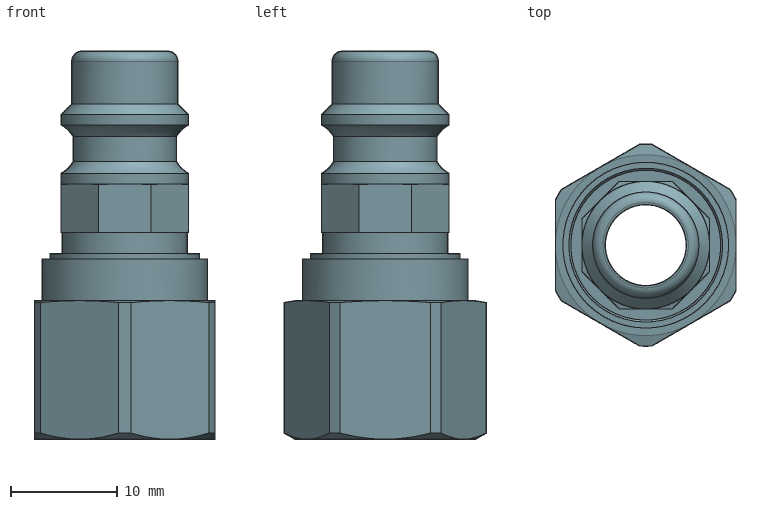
import cadquery as cq
import math

TOTAL_HEIGHT = 36.5
NUT_TOP = 13.03
COLLAR_TOP = 16.97
STEP_TOP = 17.45
OCTAGON_BOTTOM = 19.45
OCTAGON_TOP = 24.0
SHOULDER_BOTTOM = 25.0
GROOVE_BOTTOM = 26.1
GROOVE_TOP = 28.47
FLANGE_BOTTOM = 29.55
FLANGE_TOP = 30.5

BORE_DIAMETER = 7.6
GROOVE_DIAMETER = 9.75
TIP_DIAMETER = 10.0
NECK_DIAMETER = 11.8
FLANGE_DIAMETER = 12.0
STEP_DIAMETER = 14.1
COLLAR_DIAMETER = 15.6
NUT_CORNER_DIAMETER = 19.0

NUT_ACROSS_FLATS = 17.0
OCTAGON_ACROSS_FLATS = FLANGE_DIAMETER
TIP_ROUND = 1.0
GROOVE_ARC_SAG = 0.1
RIM_CHAMFER = 0.2
TOP_BEVEL_ANGLE = 10.0
BOTTOM_BEVEL_ANGLE = 30.0


def cylinder(diameter, bottom, top):
    """Upright cylinder on the part axis."""
    return cq.Workplane("XY").workplane(offset=bottom).circle(diameter / 2).extrude(top - bottom)


def polygon_prism(sides, across_flats, bottom, top):
    """Upright regular prism with flats facing +X and -X."""
    corner_radius = across_flats / 2 / math.cos(math.pi / sides)
    corners = []
    for index in range(sides):
        angle = (2 * index + 1) * math.pi / sides
        corners.append((corner_radius * math.cos(angle), corner_radius * math.sin(angle)))
    return cq.Workplane("XY").workplane(offset=bottom).polyline(corners).close().extrude(top - bottom)


def corner_limiter(flat_diameter, outer_diameter, bottom, top, bottom_angle):
    """Cylinder with conical ends that bevels the corners of a prism it is intersected with."""
    flat_radius = flat_diameter / 2
    outer_radius = outer_diameter / 2
    overhang = outer_radius - flat_radius
    top_drop = overhang * math.tan(math.radians(TOP_BEVEL_ANGLE))
    bottom_rise = overhang * math.tan(math.radians(bottom_angle))
    profile = cq.Workplane("XZ").moveTo(0, bottom).lineTo(flat_radius, bottom)
    profile = profile.lineTo(outer_radius, bottom + bottom_rise)
    profile = profile.lineTo(outer_radius, top - top_drop)
    profile = profile.lineTo(flat_radius, top).lineTo(0, top).close()
    return profile.revolve(360, (0, 0, 0), (0, 1, 0))


def make_nut():
    """Hexagonal nut with corners bevelled at both ends."""
    prism = polygon_prism(6, NUT_ACROSS_FLATS, 0, NUT_TOP)
    limiter = corner_limiter(NUT_ACROSS_FLATS, NUT_CORNER_DIAMETER, 0, NUT_TOP, BOTTOM_BEVEL_ANGLE)
    return prism.intersect(limiter)


def make_collar():
    """Round collar whose inner rim is chamfered around the step rising from it."""
    collar = cylinder(COLLAR_DIAMETER, NUT_TOP, COLLAR_TOP)
    rim_radius = STEP_DIAMETER / 2 + RIM_CHAMFER
    rim_bottom = COLLAR_TOP - RIM_CHAMFER
    funnel = cq.Workplane("XY").add(
        cq.Solid.makeCone(STEP_DIAMETER / 2, rim_radius, RIM_CHAMFER, cq.Vector(0, 0, rim_bottom))
    )
    step = cylinder(STEP_DIAMETER, NUT_TOP, STEP_TOP)
    return collar.cut(funnel).union(step)


def make_octagon():
    """Eight-sided wrench section with its upper corners bevelled."""
    prism = polygon_prism(8, OCTAGON_ACROSS_FLATS, OCTAGON_BOTTOM, OCTAGON_TOP)
    across_corners = OCTAGON_ACROSS_FLATS / math.cos(math.pi / 8)
    limiter = corner_limiter(OCTAGON_ACROSS_FLATS, across_corners, OCTAGON_BOTTOM, OCTAGON_TOP, 0)
    return prism.intersect(limiter)


def make_plug():
    """Round plug end: shoulder, locking groove, flange and rounded tip."""
    flange_radius = FLANGE_DIAMETER / 2
    groove_radius = GROOVE_DIAMETER / 2
    tip_radius = TIP_DIAMETER / 2
    cone_top = FLANGE_TOP + flange_radius - tip_radius

    arc_width = flange_radius - groove_radius
    arc_height = FLANGE_BOTTOM - GROOVE_TOP
    chord = math.hypot(arc_width, arc_height)
    arc_radius = (flange_radius + groove_radius) / 2 - GROOVE_ARC_SAG * arc_height / chord
    arc_inset = arc_height / 2 + GROOVE_ARC_SAG * arc_width / chord
    lower_middle = (arc_radius, GROOVE_BOTTOM - arc_inset)
    upper_middle = (arc_radius, GROOVE_TOP + arc_inset)

    profile = cq.Workplane("XZ").moveTo(0, OCTAGON_TOP).lineTo(flange_radius, OCTAGON_TOP)
    profile = profile.lineTo(flange_radius, SHOULDER_BOTTOM)
    profile = profile.threePointArc(lower_middle, (groove_radius, GROOVE_BOTTOM))
    profile = profile.lineTo(groove_radius, GROOVE_TOP)
    profile = profile.threePointArc(upper_middle, (flange_radius, FLANGE_BOTTOM))
    profile = profile.lineTo(flange_radius, FLANGE_TOP).lineTo(tip_radius, cone_top)
    profile = profile.lineTo(tip_radius, TOTAL_HEIGHT).lineTo(0, TOTAL_HEIGHT).close()
    plug = profile.revolve(360, (0, 0, 0), (0, 1, 0))
    return plug.faces(">Z").edges().fillet(TIP_ROUND)


neck = cylinder(NECK_DIAMETER, STEP_TOP, OCTAGON_BOTTOM)
bore = cylinder(BORE_DIAMETER, 0, TOTAL_HEIGHT)

body = make_nut().union(make_collar()).union(neck).union(make_octagon()).union(make_plug())
result = body.cut(bore)